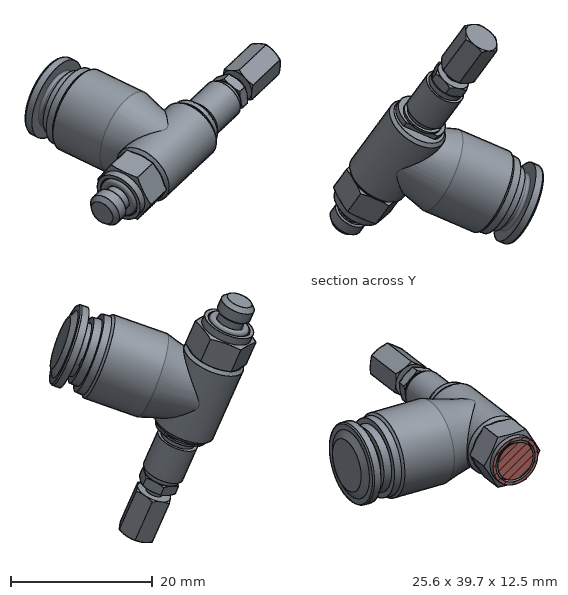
import cadquery as cq
import math


y_tip = -15.6
y_tip_chamfer = -14.93
y_tip_shoulder = -13.35
y_tip_base = -13.1
y_ring_bottom = -12.05
y_washer_bottom = -11.6
y_hex_bottom = -10.5
y_hex_top = -6.25
y_body_top = 6.27
y_collar_top = 7.03
y_flange_top = 7.35
y_groove_top = 8.15
y_sleeve_top = 13.65
y_nut_bottom = 14.45
y_nut_top = 16.08
y_cap_bottom = 17.15
y_cap_top = 24.1

tip_r = 2.5
tip_end_r = 1.85
tip_shoulder_r = 2.22
tip_neck_r = 1.9
washer_r = 3.75
washer_bore_r = 3.18
ring_r = 3.0
body_r = 4.53
body_chamfer_y = 0.5
body_chamfer_r = 0.45
sleeve_r = 3.0
groove_r = 2.5
nut_seat_r = 2.62
screw_r = 1.25

collar_r = 3.8
collar_offset_z = 0.4
collar_flat_z = -2.45

body_hex_flats = 7.98
body_hex_angle = 30.0
body_hex_chamfer = 0.25
small_hex_flats = 5.0
small_hex_chamfer = 0.2
nut_angle = -10.0
cap_angle = 4.0

x_button_face = -21.0
x_button_rim = -20.33
x_button_edge = -20.1
x_button_back = -19.0
x_guide_start = -17.85
x_guide_end = -16.67
x_sleeve_end = -15.55
x_barrel_start = -15.2
x_barrel_end = -7.05

button_face_r = 3.9
button_cone_r = 5.05
button_r = 6.05
button_edge_chamfer = 0.15
button_neck_r = 4.0
button_fillet = 0.45
guide_start_r = 4.92
guide_end_r = 5.05
branch_sleeve_start_r = 5.85
branch_sleeve_end_r = 5.9
barrel_r = 12.5 / 2
neck_mid_r = 5.25

slit_x = 0.1
slit_y = 0.95


def stem_disc(radius, y_start, y_end):
    """Cylinder on the stem axis between two Y stations."""
    return cq.Workplane("XZ", origin=(0, y_start, 0)).circle(radius).extrude(y_start - y_end)


def revolve_stem(points):
    """Solid turned about the stem axis from (radius, y) points."""
    return cq.Workplane("XY").polyline(points).close().revolve(360, (0, 0, 0), (0, 1, 0))


def hexagon(flats, corner_angle, y_start, y_end, chamfer, start_r, end_r):
    """Hexagonal prism on the stem axis, coned down to the given radii at its two ends."""
    corner_r = flats / math.sqrt(3)
    corners = []
    for i in range(6):
        angle = math.radians(corner_angle + 60 * i)
        corners.append((corner_r * math.sin(angle), corner_r * math.cos(angle)))
    prism = cq.Workplane("XZ", origin=(0, y_start, 0)).polyline(corners).close()
    prism = prism.extrude(y_start - y_end)
    turned = revolve_stem([
        (0, y_start),
        (start_r, y_start),
        (corner_r, y_start + chamfer),
        (corner_r, y_end - chamfer),
        (end_r, y_end),
        (0, y_end),
    ])
    return prism.intersect(turned)


def threaded_tip():
    """Chamfered screw end with its relieved neck."""
    return revolve_stem([
        (0, y_tip),
        (tip_end_r, y_tip),
        (tip_r, y_tip_chamfer),
        (tip_r, y_tip_shoulder),
        (tip_shoulder_r, y_tip_base),
        (tip_neck_r, y_tip_base),
        (tip_neck_r, y_hex_bottom),
        (0, y_hex_bottom),
    ])


def seal():
    """Recessed washer with a sealing ring seated around the tip neck."""
    washer = stem_disc(washer_r, y_washer_bottom, y_hex_bottom)
    recess = stem_disc(washer_bore_r, y_washer_bottom, y_hex_bottom)
    section_r = (ring_r - tip_neck_r) / 2
    center_r = tip_neck_r + section_r
    ring_y = y_ring_bottom + section_r
    ring = cq.Workplane("XY").center(center_r, ring_y).circle(section_r)
    ring = ring.revolve(360, (-center_r, 0, 0), (-center_r, 1, 0))
    shoulder = stem_disc(center_r, ring_y, y_hex_bottom)
    return washer.cut(recess).union(ring).union(shoulder)


def body():
    """Round stem body, chamfered at both ends."""
    end_r = body_r - body_chamfer_r
    return revolve_stem([
        (0, y_hex_top),
        (end_r, y_hex_top),
        (body_r, y_hex_top + body_chamfer_y),
        (body_r, y_body_top - body_chamfer_y),
        (end_r, y_body_top),
        (0, y_body_top),
    ])


def collar():
    """Eccentric disc with its lower side cut flat."""
    height = y_collar_top - y_body_top
    disc = cq.Workplane("XZ", origin=(0, y_body_top, collar_offset_z)).circle(collar_r).extrude(-height)
    kept_z = collar_offset_z + collar_r - collar_flat_z
    kept = cq.Workplane("XY", origin=(0, y_body_top, collar_flat_z)).box(
        2 * collar_r, height, kept_z, centered=(True, False, False))
    return disc.intersect(kept)


def body_hexagon():
    """Wrench hexagon, coned down to the washer below and to its own flats above."""
    return hexagon(body_hex_flats, body_hex_angle, y_hex_bottom, y_hex_top, body_hex_chamfer,
                   washer_r, body_hex_flats / 2)


def small_hexagon(corner_angle, y_start, y_end):
    """Hexagon of the nut or the cap, coned down to its flats at both ends."""
    flat_r = small_hex_flats / 2
    return hexagon(small_hex_flats, corner_angle, y_start, y_end, small_hex_chamfer, flat_r, flat_r)


def adjuster():
    """Grooved sleeve, screw, lock nut and cap."""
    parts = stem_disc(sleeve_r, y_collar_top, y_flange_top)
    parts = parts.union(stem_disc(groove_r, y_flange_top, y_groove_top))
    parts = parts.union(stem_disc(sleeve_r, y_groove_top, y_sleeve_top))
    parts = parts.union(stem_disc(nut_seat_r, y_sleeve_top, y_nut_bottom))
    parts = parts.union(small_hexagon(nut_angle, y_nut_bottom, y_nut_top))
    parts = parts.union(stem_disc(screw_r, y_nut_top, y_cap_bottom))
    return parts.union(small_hexagon(cap_angle, y_cap_bottom, y_cap_top))


def branch():
    """Release button, guide ring, barrel and flared neck, turned about the X axis."""
    fillet_mid = button_fillet * (1 - math.sqrt(0.5))
    profile = (
        cq.Workplane("XY")
        .moveTo(x_button_face, 0)
        .lineTo(x_button_face, button_face_r)
        .lineTo(x_button_rim, button_cone_r)
        .lineTo(x_button_rim, button_r - button_edge_chamfer)
        .lineTo(x_button_edge, button_r)
        .lineTo(x_button_back, button_r)
        .lineTo(x_button_back, button_neck_r + button_fillet)
        .threePointArc(
            (x_button_back + fillet_mid, button_neck_r + fillet_mid),
            (x_button_back + button_fillet, button_neck_r),
        )
        .lineTo(x_guide_start, button_neck_r)
        .lineTo(x_guide_start, guide_start_r)
        .lineTo(x_guide_end, guide_end_r)
        .lineTo(x_guide_end, branch_sleeve_start_r)
        .lineTo(x_sleeve_end, branch_sleeve_end_r)
        .lineTo(x_barrel_start, barrel_r)
        .lineTo(x_barrel_end, barrel_r)
        .threePointArc((x_barrel_end / 2, neck_mid_r), (0, body_r))
        .lineTo(0, 0)
        .close()
    )
    return profile.revolve(360, (0, 0, 0), (1, 0, 0))


def neck_slit():
    """Slit passing right through the button neck along Z."""
    height = 2 * button_r
    return cq.Workplane("XY").box(slit_x, slit_y, height).translate((x_guide_start - slit_x / 2, 0, 0))


result = body().union(branch().cut(neck_slit()))
for piece in (body_hexagon(), threaded_tip(), seal(), collar(), adjuster()):
    result = result.union(piece)